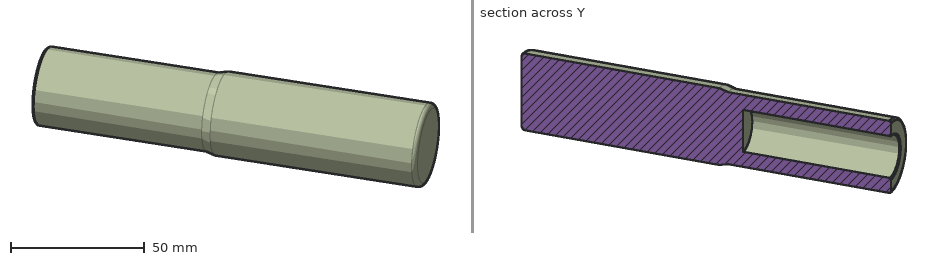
import cadquery as cq

length = 150.0
head_diameter = 32.0
shank_diameter = 30.0
head_radius = head_diameter / 2
shank_radius = shank_diameter / 2

taper_start = 66.2
taper_end = 69.8

shank_chamfer = 0.8
head_fillet = 1.8

bore_radius = 8.5
bore_chamfer = 0.5
bore_depth = 60.0


def make_body():
    """Revolve the half profile (X along the axis, Y as radius) about X."""
    profile = (
        cq.Workplane("XY")
        .moveTo(0, 0)
        .lineTo(0, shank_radius - shank_chamfer)
        .lineTo(shank_chamfer, shank_radius)
        .lineTo(taper_start, shank_radius)
        .lineTo(taper_end, head_radius)
        .lineTo(length - head_fillet, head_radius)
        .radiusArc((length, head_radius - head_fillet), head_fillet)
        .lineTo(length, 0)
        .close()
    )
    return profile.revolve(360, (0, 0, 0), (1, 0, 0))


def make_bore():
    """Flat-bottomed bore with a chamfered mouth."""
    profile = (
        cq.Workplane("XY")
        .moveTo(0, 0)
        .lineTo(0, bore_radius + bore_chamfer)
        .lineTo(bore_chamfer, bore_radius)
        .lineTo(bore_depth, bore_radius)
        .lineTo(bore_depth, 0)
        .close()
    )
    return profile.revolve(360, (0, 0, 0), (1, 0, 0))


result = make_body().cut(make_bore())